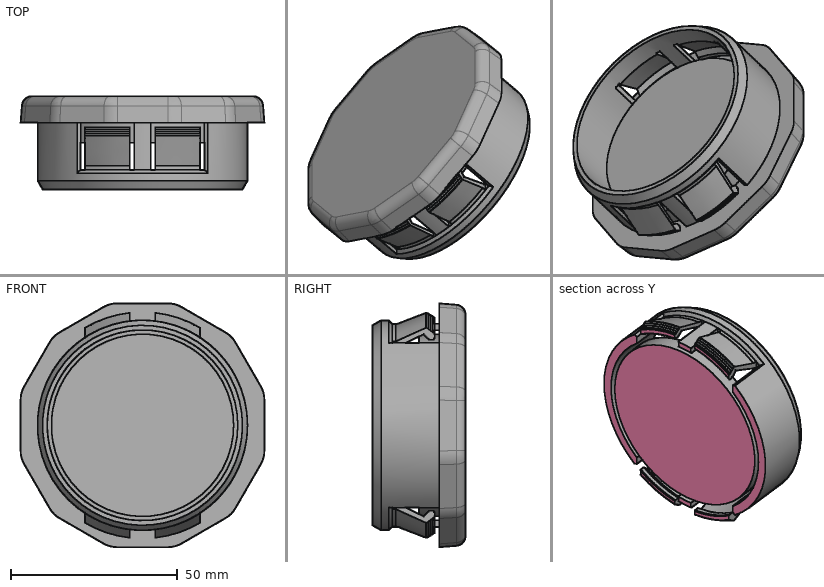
import cadquery as cq
import math

across_flats = 73.15
depth = 28.0
cap_thickness = 8.0
flange_face = depth - cap_thickness
cap_sides = 12
cap_draft = 4.5
corner_radius = 8.2
cap_edge_radius = 3.15

tube_radius = 63.0 / 2
bore_radius = 57.1 / 2
mouth_bevel_length = 2.6
mouth_bevel_angle = 30.0

plug_radius = 54.65 / 2
plug_face = 14.0

recess_half_width = 18.6
recess_radius = 30.5
recess_start = 5.9
recess_bevel = tube_radius - recess_radius

rib_half_width = 2.5
clip_gap = 1.3
clip_inner_x = rib_half_width + clip_gap
clip_outer_x = recess_half_width - clip_gap

clip_root_length = 1.2
clip_underside_y = 6.45
clip_peak_y = 16.1
clip_peak_radius = 33.95
clip_elbow_y = 15.35
clip_elbow_radius = 32.25
clip_heel_y = 17.0
clip_heel_radius = 30.95
clip_tip_y = 18.7
clip_tip_radius = 32.4
clip_tip_bevel = 0.4
clip_land_length = 0.2
tooth_count = 4
tooth_step = 0.11

overshoot = 7.3


def revolve_profile(points):
    """Turn a closed outline of (radius, Y) points about the Y axis."""
    return cq.Workplane("XY").polyline(points).close().revolve(360, (0, 0, 0), (0, 1, 0))


def x_slab(x_start, x_end, y_start, y_end):
    """Box over the given X and Y spans, reaching from the axis out past the cap in +Z."""
    size = (x_end - x_start, y_end - y_start, across_flats)
    return cq.Workplane("XY").box(*size, centered=False).translate((x_start, y_start, 0))


def make_cap():
    corner_diameter = across_flats / math.cos(math.pi / cap_sides)
    prism = (
        cq.Workplane("XZ", origin=(0, flange_face, 0))
        .transformed(rotate=(0, 0, 180 / cap_sides))
        .polygon(cap_sides, corner_diameter)
        .extrude(-cap_thickness, taper=cap_draft)
    )
    rounded = prism.edges("not(#Y)").fillet(corner_radius)
    return rounded.faces(">Y").edges().fillet(cap_edge_radius)


def make_tube():
    mouth_radius = tube_radius - mouth_bevel_length * math.tan(math.radians(mouth_bevel_angle))
    return revolve_profile([
        (bore_radius, 0),
        (mouth_radius, 0),
        (tube_radius, mouth_bevel_length),
        (tube_radius, flange_face),
        (bore_radius, flange_face),
    ])


def make_plug():
    return cq.Workplane("XZ", origin=(0, plug_face, 0)).circle(plug_radius).extrude(plug_face - flange_face)


def make_recess():
    ring = revolve_profile([
        (recess_radius, flange_face),
        (recess_radius, recess_start),
        (recess_radius + overshoot, recess_start - overshoot),
        (recess_radius + overshoot, flange_face),
    ])
    floor_edge_z = math.sqrt(recess_radius ** 2 - recess_half_width ** 2)
    rim_half_width = recess_half_width + recess_bevel
    rim_z = math.sqrt(tube_radius ** 2 - rim_half_width ** 2)
    flare = (rim_z - floor_edge_z) / recess_bevel
    top_half_width = recess_half_width + overshoot
    top_z = floor_edge_z + flare * overshoot
    right_side = [
        (recess_half_width, 0),
        (recess_half_width, floor_edge_z),
        (top_half_width, top_z),
        (top_half_width, across_flats),
    ]
    left_side = [(-x, z) for x, z in reversed(right_side)]
    spread = cq.Workplane("XZ").polyline(right_side + left_side).close().extrude(-flange_face)
    return ring.intersect(spread)


def make_clip():
    ramp_start = clip_peak_y + clip_land_length
    tooth_run = (clip_tip_y - ramp_start) / tooth_count
    tooth_drop = (clip_peak_radius - clip_tip_radius) / tooth_count
    teeth = []
    for i in range(tooth_count):
        tooth_radius = clip_peak_radius - i * tooth_drop
        tooth_end = ramp_start + (i + 1) * tooth_run
        teeth.append((tooth_radius, tooth_end - tooth_run))
        teeth.append((tooth_radius - tooth_drop + tooth_step, tooth_end))
    ring = revolve_profile([
        (bore_radius, recess_start),
        (recess_radius, recess_start),
        (recess_radius, recess_start + clip_root_length),
        (clip_peak_radius, clip_peak_y),
        *teeth,
        (clip_tip_radius, clip_tip_y),
        (clip_heel_radius + clip_tip_bevel, clip_tip_y),
        (clip_heel_radius, clip_tip_y - clip_tip_bevel),
        (clip_heel_radius, clip_heel_y),
        (clip_elbow_radius, clip_elbow_y),
        (bore_radius, clip_underside_y),
    ])
    return ring.intersect(x_slab(clip_inner_x, clip_outer_x, 0, flange_face))


def both_ends(shape):
    return shape.union(shape.mirror("XY"))


def both_sides(shape):
    return shape.union(shape.mirror("YZ"))


window = both_sides(x_slab(rib_half_width, recess_half_width, recess_start, flange_face))
clips = both_sides(make_clip())

tube = make_tube().cut(both_ends(make_recess())).cut(both_ends(window))
result = make_cap().union(tube).union(make_plug()).union(both_ends(clips))